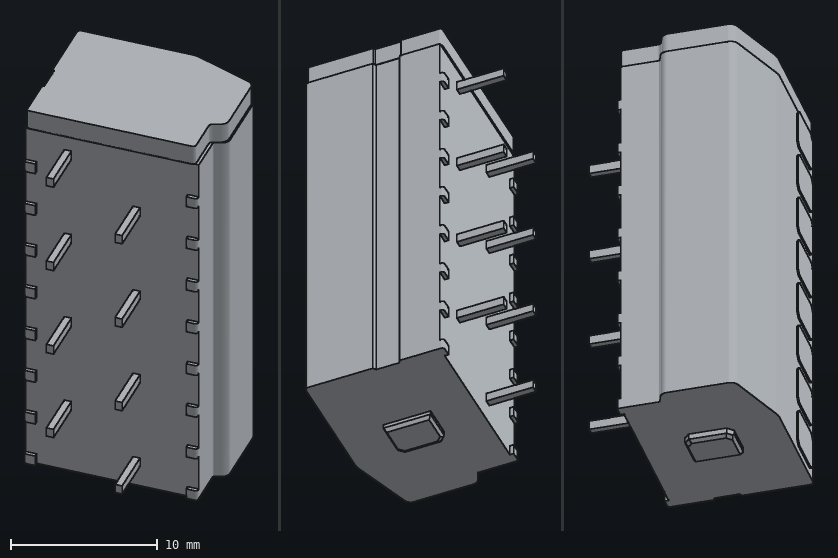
import cadquery as cq
import math

POLE_COUNT = 8
BODY_HEIGHT = 28.0
POLE_PITCH = BODY_HEIGHT / POLE_COUNT

BODY_WIDTH = 13.6
PLATE_TOP = 10.2
PLATE_RAISE = 0.1
BODY_TOP = PLATE_TOP - PLATE_RAISE
SLOPE_START = 8.75
SLOPE_ANGLE = 20
LOWER_WIDTH = 12.65
OVERHANG_BOTTOM = 2.77
OVERHANG_ANGLE = 20
OVERHANG_RADIUS = 0.105
TOP_LEFT_RADIUS = 0.3
RIGHT_RADIUS = 0.6
SLOPE_RADIUS = 1.8

GROOVE_BOTTOM = 2.98
GROOVE_TOP = 5.0
GROOVE_DEPTH = 0.2
GROOVE_BEVEL = 0.15

CAP_HEIGHT = 1.5
CAP_INSET = 0.1
CAP_BOTTOM = -0.1
CAP_LOWER_WIDTH = 12.4
CAP_BOTTOM_RADIUS = 0.2
CAP_GROOVE_DEPTH = 0.25

FOOT_LENGTH = 0.8
FOOT_WIDTH = 0.8
FOOT_DROP = 0.285
FOOT_RADIUS = 0.2

PIN_ROWS_X = (8.1, 3.1)
PIN_WIDTH = 0.5
PIN_HEIGHT = 0.7
PIN_LENGTH = 3.5
FIRST_PIN_Z = 2.0

PLATE_LEFT = 0.75
PLATE_WIDTH = 3.52
PLATE_LENGTH = 2.9
PLATE_CORNER = 0.33

PEG_LEFT = 5.57
PEG_WIDTH = 2.7
PEG_BOTTOM = 3.15
PEG_LENGTH = 3.52
PEG_HEIGHT = 0.6
PEG_CORNER = 0.42
PEG_BEVEL_HEIGHT = 0.3
PEG_BEVEL_INSET = 0.18


def slope_rise(run, angle):
    """Rise of a straight line over a run at an angle in degrees."""
    return run * math.tan(math.radians(angle))


def housing_section(inset, bottom, lower_width, groove_depth, height):
    """Extruded housing outline; inset moves the upper walls inward."""
    right = BODY_WIDTH - inset
    top = BODY_TOP - inset
    slope_start = SLOPE_START - slope_rise(inset, SLOPE_ANGLE / 2)
    slope_end = top - slope_rise(right - slope_start, SLOPE_ANGLE)
    overhang_edge = OVERHANG_BOTTOM + slope_rise(right - lower_width, OVERHANG_ANGLE)
    overhang_radius = OVERHANG_RADIUS + LOWER_WIDTH - lower_width
    section = (
        cq.Workplane("XY")
        .moveTo(inset, bottom)
        .lineTo(lower_width, bottom)
        .lineTo(lower_width, OVERHANG_BOTTOM)
        .lineTo(right, overhang_edge)
        .lineTo(right, slope_end)
        .lineTo(slope_start, top)
        .lineTo(inset, top)
        .close()
        .extrude(height)
    )
    rounded_corners = (
        (inset, top, TOP_LEFT_RADIUS),
        (slope_start, top, SLOPE_RADIUS),
        (right, slope_end, RIGHT_RADIUS),
        (right, overhang_edge, RIGHT_RADIUS),
        (lower_width, OVERHANG_BOTTOM, overhang_radius),
    )
    for x, y, radius in rounded_corners:
        corner = cq.selectors.NearestToPointSelector((x, y, height / 2))
        section = section.edges("|Z").edges(corner).fillet(radius)

    groove = (
        cq.Workplane("XY")
        .moveTo(0, GROOVE_BOTTOM - inset)
        .lineTo(groove_depth, GROOVE_BOTTOM - inset + GROOVE_BEVEL)
        .lineTo(groove_depth, GROOVE_TOP + inset - GROOVE_BEVEL)
        .lineTo(0, GROOVE_TOP + inset)
        .close()
        .extrude(height)
    )
    return section.cut(groove)


def body():
    return housing_section(0, 0, LOWER_WIDTH, GROOVE_DEPTH, BODY_HEIGHT)


def end_cap():
    cap = housing_section(CAP_INSET, CAP_BOTTOM, CAP_LOWER_WIDTH, CAP_GROOVE_DEPTH, CAP_HEIGHT)
    cap = cap.faces("<Y").edges("|Z").fillet(CAP_BOTTOM_RADIUS)
    return cap.translate((0, 0, BODY_HEIGHT))


def foot_pair():
    """Two feet at opposite edges of the mounting face, outer bottom corners rounded."""
    bar = cq.Workplane("XY").box(LOWER_WIDTH, FOOT_DROP, FOOT_LENGTH, centered=False)
    bar = bar.faces("<Y").edges("|Z").fillet(FOOT_RADIUS)
    gap = cq.Workplane("XY").box(LOWER_WIDTH - 2 * FOOT_WIDTH, FOOT_DROP, FOOT_LENGTH, centered=False)
    return bar.cut(gap.translate((FOOT_WIDTH, 0, 0))).translate((0, -FOOT_DROP, 0))


def pin(x, z):
    solid = cq.Workplane("XY").box(PIN_WIDTH, PIN_LENGTH, PIN_HEIGHT)
    return solid.translate((x, -PIN_LENGTH / 2, z))


def marking_plate():
    plate = cq.Workplane("XY").box(PLATE_WIDTH, PLATE_RAISE, PLATE_LENGTH, centered=False)
    plate = plate.edges("|Y").chamfer(PLATE_CORNER)
    return plate.translate((PLATE_LEFT, BODY_TOP, POLE_PITCH - PLATE_LENGTH))


def coupling_peg():
    peg = cq.Workplane("XY").box(PEG_WIDTH, PEG_LENGTH, PEG_HEIGHT, centered=False)
    peg = peg.faces(">X").edges("|Z").chamfer(PEG_CORNER)
    peg = peg.faces("<Z").chamfer(PEG_BEVEL_INSET, PEG_BEVEL_HEIGHT)
    return peg.translate((PEG_LEFT, PEG_BOTTOM, -PEG_HEIGHT))


result = body().union(end_cap()).union(coupling_peg())

for pole in range(POLE_COUNT):
    pole_z = pole * POLE_PITCH
    result = result.union(foot_pair().translate((0, 0, pole_z)))
    result = result.union(pin(PIN_ROWS_X[pole % 2], FIRST_PIN_Z + pole_z))
    result = result.union(marking_plate().translate((0, 0, pole_z)))